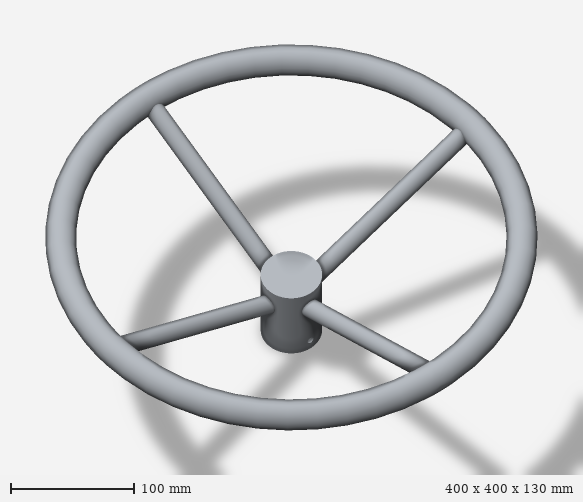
import cadquery as cq
import math

wheel_diameter = 400.0
rim_thickness = 25.0
total_height = 130.0
hub_diameter = 50.0
hub_height = 70.0
spoke_diameter = 16.0
spoke_count = 4
spoke_root_height = 40.8
pin_hole_diameter = 6.0
pin_hole_height = 10.0

rim_center_radius = (wheel_diameter - rim_thickness) / 2
rim_center_height = total_height - rim_thickness / 2
rim_seam_angle = 180 / spoke_count


def make_rim():
    return (
        cq.Workplane("XZ")
        .center(rim_center_radius, rim_center_height)
        .circle(rim_thickness / 2)
        .revolve(360, (-rim_center_radius, 0), (-rim_center_radius, 1))
        .rotate((0, 0, 0), (0, 0, 1), rim_seam_angle)
    )


def make_hub():
    return cq.Workplane("XY").circle(hub_diameter / 2).extrude(hub_height)


def make_spoke(angle):
    """Round bar rising from the hub axis to the centre of the rim section."""
    rise = rim_center_height - spoke_root_height
    length = math.hypot(rim_center_radius, rise)
    root = cq.Vector(0, 0, spoke_root_height)
    direction = cq.Vector(rim_center_radius, 0, rise)
    bar = cq.Solid.makeCylinder(spoke_diameter / 2, length, root, direction)
    return cq.Workplane(bar).rotate((0, 0, 0), (0, 0, 1), angle)


def make_pin_hole():
    """Cross hole along X through the full width of the hub."""
    return (
        cq.Workplane("YZ")
        .center(0, pin_hole_height)
        .circle(pin_hole_diameter / 2)
        .extrude(hub_diameter, both=True)
    )


wheel = make_hub().union(make_rim(), clean=False)
for index in range(spoke_count):
    wheel = wheel.union(make_spoke(index * 360 / spoke_count), clean=False)

result = wheel.cut(make_pin_hole(), clean=False)